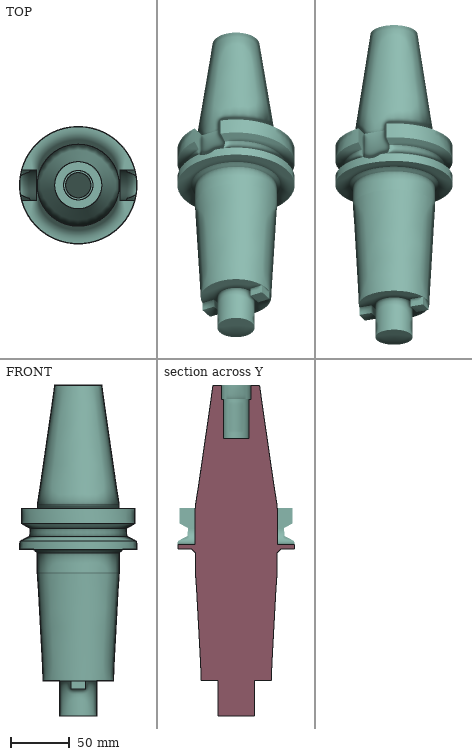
import cadquery as cq
import math


GAUGE_RADIUS = 69.85 / 2
TAPER_LENGTH = 101.8
TAPER_RATIO = 7 / 24
TAPER_TIP_RADIUS = GAUGE_RADIUS - TAPER_LENGTH * TAPER_RATIO / 2

FLANGE_RADIUS = 50.0
FLANGE_TOP_Z = -3.0
FLANGE_BOTTOM_Z = -38.0
GROOVE_RADIUS = 43.0
GROOVE_TOP_Z = -16.0
GROOVE_BOTTOM_Z = -31.0
GROOVE_FLANK_ANGLE = 30.0
GROOVE_FLANK_HEIGHT = (FLANGE_RADIUS - GROOVE_RADIUS) * math.tan(math.radians(GROOVE_FLANK_ANGLE))

BODY_RADIUS = 35.0
BODY_CHAMFER = 3.0
BODY_TAPER_START_Z = -58.0
BODY_END_RADIUS = 30.0
BODY_END_Z = -150.0

SPIGOT_RADIUS = 31.75 / 2
SPIGOT_LENGTH = 30.0

SLOT_WIDTH = 25.7
SLOT_FLOOR_X = 35.4
SLOT_BOTTOM_Z = -33.7

KEY_WIDTH = 12.7
KEY_HEIGHT = 7.0
KEY_INNER_Y = 18.0
KEY_OUTER_Y = 29.3

COUNTERBORE_RADIUS = 12.5
COUNTERBORE_DEPTH = 12.0
BORE_RADIUS = 10.75
BORE_DEPTH = 45.0


def make_revolved_body():
    """Taper, flange, body and spigot as one solid of revolution."""
    outline = [
        (0, TAPER_LENGTH),
        (TAPER_TIP_RADIUS, TAPER_LENGTH),
        (GAUGE_RADIUS, 0),
        (GAUGE_RADIUS, FLANGE_TOP_Z),
        (FLANGE_RADIUS, FLANGE_TOP_Z),
        (FLANGE_RADIUS, GROOVE_TOP_Z),
        (GROOVE_RADIUS, GROOVE_TOP_Z - GROOVE_FLANK_HEIGHT),
        (GROOVE_RADIUS, GROOVE_BOTTOM_Z + GROOVE_FLANK_HEIGHT),
        (FLANGE_RADIUS, GROOVE_BOTTOM_Z),
        (FLANGE_RADIUS, FLANGE_BOTTOM_Z),
        (BODY_RADIUS + BODY_CHAMFER, FLANGE_BOTTOM_Z),
        (BODY_RADIUS, FLANGE_BOTTOM_Z - BODY_CHAMFER),
        (BODY_RADIUS, BODY_TAPER_START_Z),
        (BODY_END_RADIUS, BODY_END_Z),
        (SPIGOT_RADIUS, BODY_END_Z),
        (SPIGOT_RADIUS, BODY_END_Z - SPIGOT_LENGTH),
        (0, BODY_END_Z - SPIGOT_LENGTH),
    ]
    return cq.Workplane("YZ").polyline(outline).close().revolve(360, (0, 0), (0, 1))


def make_drive_slot(side):
    """Round-bottomed slot cutter, open at the top and outwards; side is -1 or +1 along X."""
    half_width = SLOT_WIDTH / 2
    arc_center_z = SLOT_BOTTOM_Z + half_width
    return (
        cq.Workplane("YZ", origin=(side * SLOT_FLOOR_X, 0, 0))
        .moveTo(-half_width, FLANGE_TOP_Z)
        .lineTo(-half_width, arc_center_z)
        .threePointArc((0, SLOT_BOTTOM_Z), (half_width, arc_center_z))
        .lineTo(half_width, FLANGE_TOP_Z)
        .close()
        .extrude(side * FLANGE_RADIUS)
    )


def make_drive_key(side):
    """Rectangular key hanging from the body end face; side is -1 or +1 along Y."""
    center_y = side * (KEY_INNER_Y + KEY_OUTER_Y) / 2
    return (
        cq.Workplane("XY", origin=(0, center_y, BODY_END_Z))
        .rect(KEY_WIDTH, KEY_OUTER_Y - KEY_INNER_Y)
        .extrude(-KEY_HEIGHT)
    )


def make_bore():
    """Stepped bore cutter, from the taper tip downwards."""
    tip_plane = cq.Workplane("XY", origin=(0, 0, TAPER_LENGTH))
    counterbore = tip_plane.circle(COUNTERBORE_RADIUS).extrude(-COUNTERBORE_DEPTH)
    bore = tip_plane.circle(BORE_RADIUS).extrude(-BORE_DEPTH)
    return counterbore.union(bore)


result = make_revolved_body().cut(make_bore())
for side in (-1, 1):
    result = result.cut(make_drive_slot(side))
    result = result.union(make_drive_key(side))